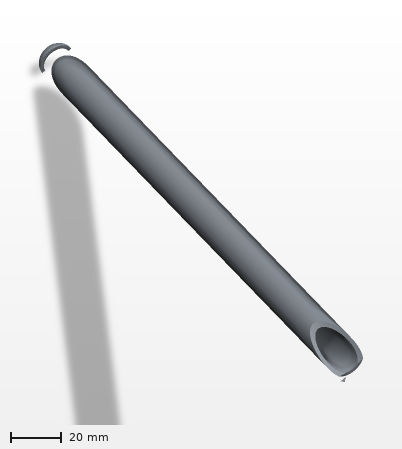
import cadquery as cq

strut_start = cq.Vector(3.5, 71.0, 2.8)
strut_run = cq.Vector(309.0, -63.5, 149.3)
trim_size = 62.7

outer_radius = 7.5
wall = 1.5
inner_radius = outer_radius - wall

cope_radius = 15.7
lower_cope_axis = (72.5, 0.0)
upper_cope_axis = (6.0, 156.8)
cope_length = 439.0
cope_start_x = -62.7

strut_end_x = 303.5

ring_cut_x = strut_start.x


chip_base_x = 312.3
chip_tip_x = 313.5
chip_width = 2.2
chip_top_z = 151.0
chip_height = 1.3


def make_tube():
    """Full strut tube with square ends."""
    axis_plane = cq.Plane(origin=strut_start.toTuple(), normal=strut_run.toTuple())
    profile = cq.Workplane(axis_plane).circle(outer_radius).circle(inner_radius)
    return profile.extrude(strut_run.Length)


def make_cope(axis_position):
    """Long cylinder parallel to X that shapes one end of the strut."""
    plane = cq.Workplane("YZ", origin=(cope_start_x, 0, 0))
    return plane.center(*axis_position).circle(cope_radius).extrude(cope_length)


def make_strut():
    strut = make_tube()
    for axis_position in (lower_cope_axis, upper_cope_axis):
        strut = strut.cut(make_cope(axis_position))
    blunting = cq.Workplane("XY").box(trim_size, trim_size, trim_size)
    blunting = blunting.translate((strut_end_x + trim_size / 2, *upper_cope_axis))
    return strut.cut(blunting)


def make_half_ring():
    """Wedge of the tube between its square end and a flat face across X."""
    keep = cq.Workplane("XY").box(trim_size, trim_size, trim_size)
    keep = keep.translate((ring_cut_x - trim_size / 2, strut_start.y, strut_start.z))
    return make_tube().intersect(keep)


def make_chip():
    """Four-sided chip tapering from its triangular base to a point."""
    bottom_z = chip_top_z - chip_height
    near = cq.Vector(chip_base_x, 0, bottom_z)
    far = cq.Vector(chip_base_x, chip_width, bottom_z)
    top = cq.Vector(chip_base_x, chip_width, chip_top_z)
    tip = cq.Vector(chip_tip_x, chip_width / 2, bottom_z)
    corner_sets = [(near, far, top), (near, far, tip), (far, top, tip), (top, near, tip)]
    faces = []
    for corners in corner_sets:
        outline = cq.Wire.makePolygon(corners, close=True)
        faces.append(cq.Face.makeFromWires(outline))
    return cq.Solid.makeSolid(cq.Shell.makeShell(faces))


strut = make_strut()
half_ring = make_half_ring()
chip = make_chip()

result = cq.Compound.makeCompound([*strut.vals(), *half_ring.vals(), chip])